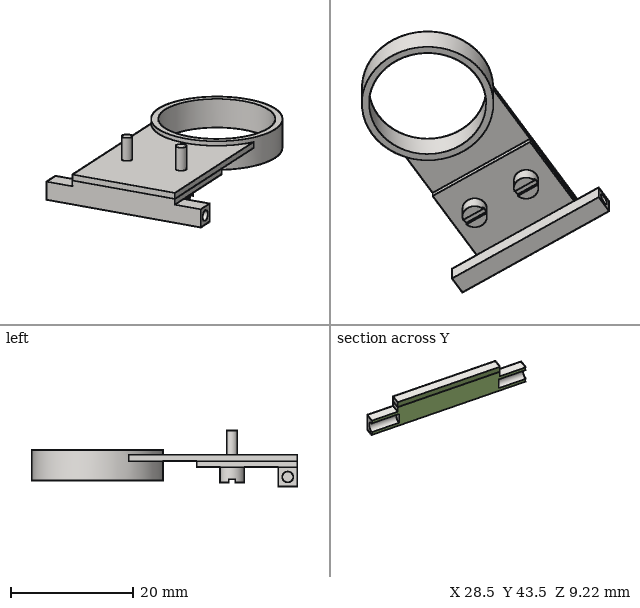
import cadquery as cq

total_length = 43.45

bar_length = 28.5
bar_side = 3.17
bar_hole_diameter = 1.8
bar_hole_depth = 5.0
tongue_length = 16.45
tongue_thickness = 1.0

plate_width = 18.95
plate_thickness = 1.05
ring_outer_diameter = 21.5
ring_inner_diameter = 19.1
ring_height = 5.0
ring_rise = 0.8

screw_diameter = 1.8
screw_spacing = 10.0
screw_y = 10.7
screw_projection = 4.0
head_diameter = 4.0
head_height = 2.5
slot_width = 1.0
slot_depth = 0.5

tongue_bottom = bar_side
plate_bottom = tongue_bottom + tongue_thickness
plate_top = plate_bottom + plate_thickness
ring_bottom = plate_top + ring_rise - ring_height
ring_y = total_length - ring_outer_diameter / 2
shank_length = tongue_thickness + plate_thickness + screw_projection
head_bottom = tongue_bottom - head_height
screw_places = [(side * screw_spacing / 2, screw_y) for side in (-1, 1)]


def block(width, length, height, bottom):
    """Box centred on X, starting at Y = 0 and standing on the given level."""
    return (
        cq.Workplane("XY")
        .box(width, length, height, centered=(True, False, False))
        .translate((0, 0, bottom))
    )


def cylinder(x, y, diameter, bottom, height):
    """Upright cylinder standing on the given level."""
    return cq.Workplane("XY", origin=(x, y, bottom)).circle(diameter / 2).extrude(height)


def cut_screw_holes(body):
    """Clearance-free holes for both screw shanks."""
    for x, y in screw_places:
        body = body.cut(cylinder(x, y, screw_diameter, tongue_bottom, shank_length))
    return body


def make_bracket():
    """Bar and tongue, with a blind hole in each end of the bar."""
    bar = block(bar_length, bar_side, bar_side, 0)
    tongue = block(plate_width, tongue_length, tongue_thickness, tongue_bottom)
    bracket = bar.union(tongue)
    for side in (-1, 1):
        end_hole = (
            cq.Workplane("YZ", origin=(side * bar_length / 2, bar_side / 2, bar_side / 2))
            .circle(bar_hole_diameter / 2)
            .extrude(-side * bar_hole_depth)
        )
        bracket = bracket.cut(end_hole)
    return cut_screw_holes(bracket)


def make_holder():
    """Plate running into the ring, with the ring bore left open."""
    plate = block(plate_width, ring_y, plate_thickness, plate_bottom)
    ring = cylinder(0, ring_y, ring_outer_diameter, ring_bottom, ring_height)
    bore = cylinder(0, ring_y, ring_inner_diameter, ring_bottom, ring_height)
    return cut_screw_holes(plate.union(ring).cut(bore))


def make_screw(x, y):
    """Shank with a cylindrical head below, slotted along X."""
    shank = cylinder(x, y, screw_diameter, tongue_bottom, shank_length)
    head = cylinder(x, y, head_diameter, head_bottom, head_height)
    slot = (
        cq.Workplane("XY")
        .box(head_diameter, slot_width, slot_depth, centered=(True, True, False))
        .translate((x, y, head_bottom))
    )
    return shank.union(head).cut(slot)


bracket = make_bracket()
holder = make_holder()
screws = [make_screw(x, y) for x, y in screw_places]

result = cq.Compound.makeCompound([bracket.val(), holder.val(), *[screw.val() for screw in screws]])